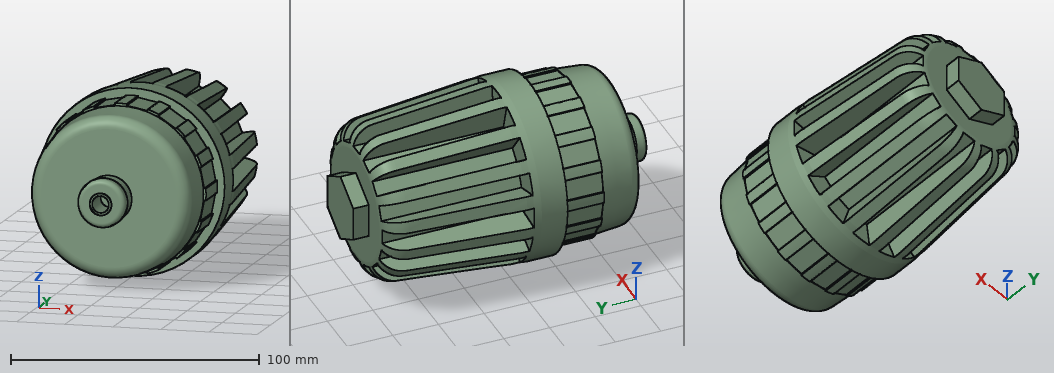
import cadquery as cq
import math


flange_front = 0.5
flange_back = 5.4
neck_back = 7.0
cup_front = 13.1
band_front = 30.9
collar_front = 48.2
collar_taper_start = 59.5
collar_back = 62.6
cap_taper_start = 65.5
cap_back = 124.2
hex_back = 131.0

bore_diameter = 7.0
tip_diameter = 9.0
neck_diameter = 13.5
stem_diameter = 18.9
flange_diameter = 19.8
flange_fillet = 2.0
bore_depth = cup_front

cup_radius = 34.5
cup_draft = 4.8
cup_fillet = 5.0

rib_count = 16
band_flat_distance = 34.6
rib_radius = 35.5
rib_width = 5.0

collar_radius = 38.5

cap_radius = 38.1
cap_draft = 5.0
cap_fillet = 10.0
groove_count = 16
groove_floor_radius = 26.0
groove_floor_width = 6.3
groove_flare = 7.0

hex_across_flats = 26.0


def cylinder(radius, y_start, y_end):
    """Solid cylinder on the Y axis."""
    return cq.Workplane("XZ", origin=(0, y_start, 0)).circle(radius).extrude(y_start - y_end)


def cone(radius_start, y_start, radius_end, y_end):
    """Solid cone frustum on the Y axis."""
    return (
        cq.Workplane("XY")
        .polyline([(0, y_start), (radius_start, y_start), (radius_end, y_end), (0, y_end)])
        .close()
        .revolve(360, (0, 0, 0), (0, 1, 0))
    )


def ring_of(tool, count):
    """Copies of a tool spread evenly around the Y axis, the first one on +Z."""
    copies = [tool.rotate((0, 0, 0), (0, 1, 0), i * 360 / count).val() for i in range(count)]
    return cq.Workplane("XY").newObject(copies).combine()


def make_stem():
    flange = cylinder(flange_diameter / 2, flange_front, flange_back)
    flange = flange.faces("<Y").edges().fillet(flange_fillet)
    tip = cylinder(tip_diameter / 2, 0, flange_back)
    neck = cylinder(neck_diameter / 2, flange_back, neck_back)
    shank = cylinder(stem_diameter / 2, neck_back, cup_front)
    bore = cylinder(bore_diameter / 2, 0, bore_depth)
    return flange.union(tip).union(neck).union(shank).cut(bore)


def make_cup():
    narrowing = (band_front - cup_front) * math.tan(math.radians(cup_draft))
    cup = cone(cup_radius - narrowing, cup_front, cup_radius, band_front)
    return cup.faces("<Y").edges().fillet(cup_fillet)


def make_ribbed_band():
    length = collar_front - band_front
    corner_diameter = 2 * band_flat_distance / math.cos(math.radians(180 / rib_count))
    band = (
        cq.Workplane("XZ", origin=(0, band_front, 0))
        .polygon(rib_count, corner_diameter)
        .extrude(-length)
    )
    bar = cq.Workplane("XY").box(rib_width, length, rib_radius, centered=(True, False, False))
    ribs = ring_of(bar.translate((0, band_front, 0)), rib_count)
    return band.union(ribs.intersect(cylinder(rib_radius, band_front, collar_front)))


def make_collar():
    rim = cylinder(collar_radius, collar_front, collar_taper_start)
    return rim.union(cone(collar_radius, collar_taper_start, cap_radius, collar_back))


def make_groove_cutter():
    depth = collar_radius - groove_floor_radius
    half_floor = groove_floor_width / 2
    half_mouth = half_floor + depth * math.tan(math.radians(groove_flare))
    return (
        cq.Workplane("XZ", origin=(0, collar_back, 0))
        .polyline([
            (-half_floor, groove_floor_radius),
            (half_floor, groove_floor_radius),
            (half_mouth, collar_radius),
            (-half_mouth, collar_radius),
        ])
        .close()
        .extrude(collar_back - cap_back)
    )


def make_cap():
    narrowing = (cap_back - cap_taper_start) * math.tan(math.radians(cap_draft))
    cap = cone(cap_radius, cap_taper_start, cap_radius - narrowing, cap_back)
    cap = cap.faces(">Y").edges().fillet(cap_fillet)
    cap = cap.union(cylinder(cap_radius, collar_back, cap_taper_start))
    return cap.cut(ring_of(make_groove_cutter(), groove_count))


def make_hex():
    across_corners = hex_across_flats / math.cos(math.radians(30))
    return (
        cq.Workplane("XZ", origin=(0, cap_back, 0))
        .transformed(rotate=(0, 0, 90))
        .polygon(6, across_corners)
        .extrude(cap_back - hex_back)
    )


result = (
    make_collar()
    .union(make_stem())
    .union(make_cup())
    .union(make_ribbed_band())
    .union(make_cap())
    .union(make_hex())
)